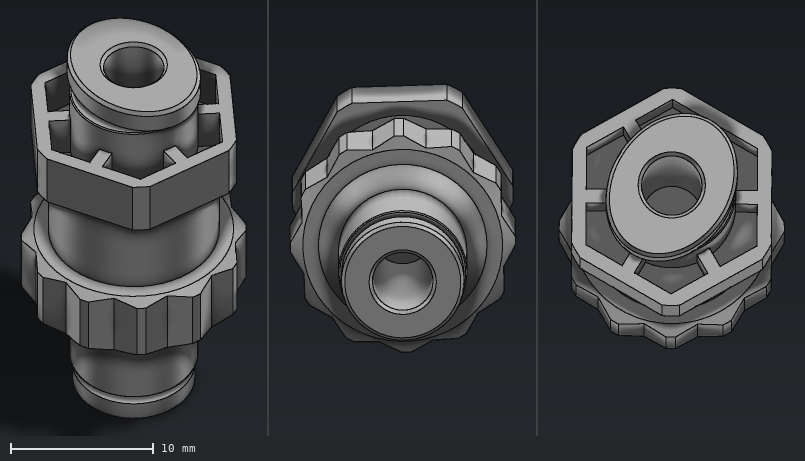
import cadquery as cq
import math

LENGTH = 30.0
SLEEVE_DIAMETER = 9.0
BARREL_DIAMETER = 12.0
NECK_DIAMETER = 5.52

BUTTON_HEIGHT = 1.62
BUTTON_GAP = 0.78
BUTTON_DIAMETER = 8.6
OVAL_BUTTON_WIDTH = 10.8
BUTTON_CHAMFER = 0.25
SLEEVE_CHAMFER = 0.1

BORE_DIAMETER = 4.23
BORE_CHAMFER = 0.25
BORE_DEPTH = 12.0

HEX_FLATS = 14.0
HEX_CORNER_DIAMETER = 15.5
HEX_BOTTOM = 21.4
HEX_HEIGHT = 4.08
POCKET_FLATS = BARREL_DIAMETER
RIB_WIDTH = 1.0
POCKET_FLOOR = 1.0
SIDES = 6
HALF_SIDE_ANGLE = 180 / SIDES

NUT_FLATS = HEX_FLATS
NUT_DIAMETER = 15.8
NUT_FACE_DIAMETER = NUT_FLATS
NUT_BOTTOM = 9.3
NUT_HEIGHT = 5.07
NUT_CHAMFER_HEIGHT = 0.33

CONE_HEIGHT = 1.4

HEX_TOP = HEX_BOTTOM + HEX_HEIGHT
NUT_TOP = NUT_BOTTOM + NUT_HEIGHT
SLEEVE_BOTTOM = BUTTON_HEIGHT + BUTTON_GAP
SLEEVE_TOP = LENGTH - SLEEVE_BOTTOM


def cylinder(diameter, bottom, top):
    return cq.Workplane("XY").workplane(offset=bottom).circle(diameter / 2).extrude(top - bottom)


def cone_between(bottom_radius, top_radius, bottom, top):
    cone = cq.Solid.makeCone(bottom_radius, top_radius, top - bottom, cq.Vector(0, 0, bottom))
    return cq.Workplane(obj=cone)


def hexagon(flats, bottom, top, turn):
    """Hexagonal prism; with no turn its corners lie on the X axis."""
    corner_diameter = flats / math.cos(math.pi / SIDES)
    base = cq.Workplane("XY").workplane(offset=bottom)
    prism = base.polygon(SIDES, corner_diameter).extrude(top - bottom)
    return prism.rotate((0, 0, 0), (0, 0, 1), turn)


def make_core():
    """Neck, stepped sleeve, cone and barrel along the axis."""
    neck = cylinder(NECK_DIAMETER, BUTTON_HEIGHT, LENGTH - BUTTON_HEIGHT)
    sleeve = cylinder(SLEEVE_DIAMETER, SLEEVE_BOTTOM, SLEEVE_TOP)
    sleeve = sleeve.faces("<Z or >Z").chamfer(SLEEVE_CHAMFER)
    cone_radius = SLEEVE_DIAMETER / 2
    cone = cone_between(cone_radius, cone_radius + CONE_HEIGHT, NUT_BOTTOM - CONE_HEIGHT, NUT_BOTTOM)
    barrel = cylinder(BARREL_DIAMETER, NUT_BOTTOM, HEX_BOTTOM)
    return neck.union(sleeve).union(cone).union(barrel)


def make_round_button():
    return cylinder(BUTTON_DIAMETER, 0, BUTTON_HEIGHT).faces("<Z").chamfer(BUTTON_CHAMFER)


def make_oval_button():
    oval = cq.Workplane("XY").workplane(offset=LENGTH - BUTTON_HEIGHT)
    oval = oval.ellipse(OVAL_BUTTON_WIDTH / 2, BUTTON_DIAMETER / 2).extrude(BUTTON_HEIGHT)
    return oval.faces(">Z").chamfer(BUTTON_CHAMFER)


def make_hex_collar():
    """Hexagon with corners on Y, hollowed around the sleeve except for a rib at each flat."""
    collar = hexagon(HEX_FLATS, HEX_BOTTOM, HEX_TOP, HALF_SIDE_ANGLE)
    collar = collar.intersect(cylinder(HEX_CORNER_DIAMETER, HEX_BOTTOM, HEX_TOP))
    floor = HEX_BOTTOM + POCKET_FLOOR
    pockets = hexagon(POCKET_FLATS, floor, HEX_TOP, HALF_SIDE_ANGLE)
    pockets = pockets.cut(cylinder(SLEEVE_DIAMETER, floor, HEX_TOP))
    for index in range(SIDES // 2):
        base = cq.Workplane("XY").workplane(offset=floor)
        rib = base.rect(HEX_FLATS, RIB_WIDTH).extrude(HEX_TOP - floor)
        pockets = pockets.cut(rib.rotate((0, 0, 0), (0, 0, 1), index * 360 / SIDES))
    return collar.cut(pockets)


def make_nut():
    """Two crossed hexagons trimmed to a disc whose rims are bevelled."""
    star = hexagon(NUT_FLATS, NUT_BOTTOM, NUT_TOP, 0)
    star = star.union(hexagon(NUT_FLATS, NUT_BOTTOM, NUT_TOP, HALF_SIDE_ANGLE))
    rim_width = (NUT_DIAMETER - NUT_FACE_DIAMETER) / 2
    profile = (
        cq.Workplane("XZ")
        .moveTo(0, NUT_BOTTOM)
        .lineTo(NUT_FACE_DIAMETER / 2, NUT_BOTTOM)
        .line(rim_width, NUT_CHAMFER_HEIGHT)
        .lineTo(NUT_DIAMETER / 2, NUT_TOP - NUT_CHAMFER_HEIGHT)
        .line(-rim_width, NUT_CHAMFER_HEIGHT)
        .lineTo(0, NUT_TOP)
        .close()
    )
    return star.intersect(profile.revolve(360, (0, 0, 0), (0, 1, 0)))


def make_bore():
    """Blind bore with a flared mouth, entering from the top."""
    bore = cylinder(BORE_DIAMETER, LENGTH - BORE_DEPTH, LENGTH)
    bore_radius = BORE_DIAMETER / 2
    mouth = cone_between(bore_radius, bore_radius + BORE_CHAMFER, LENGTH - BORE_CHAMFER, LENGTH)
    return bore.union(mouth)


body = make_core().union(make_round_button()).union(make_oval_button())
body = body.union(make_hex_collar()).union(make_nut())

top_bore = make_bore()
bottom_bore = top_bore.mirror("XY").translate((0, 0, LENGTH))
result = body.cut(top_bore).cut(bottom_bore)